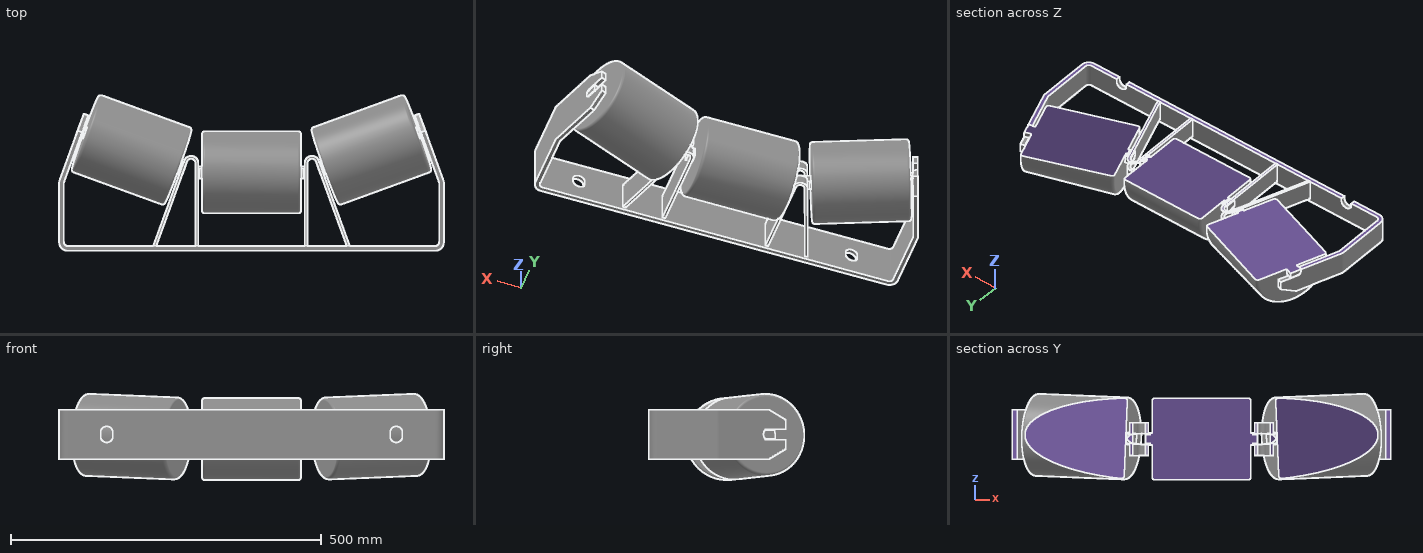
import cadquery as cq
import math

frame_width = 620.0
frame_height = 80.0
frame_thickness = 8.0
corner_radius = 14.0
side_bend_radius = 10.0
side_bend_y = 111.5

flare_angle = 20.0
flange_length = 116.5
tip_chamfer_length = 29.0
tip_half_height = 23.5

mount_slot_width = 20.0
mount_slot_height = 26.0
mount_slot_x = 233.0

roller_diameter = 132.5
roller_length = 160.0
roller_fillet = 5.0
axle_radius = 10.0
axle_reach = 90.5
axle_collar_length = 3.0
tongue_thickness = 14.0
axle_slot_width = 17.0
axle_slot_length = 49.5
side_axle_from_tip = 28.5
side_roller_offset = 92.5
side_roller_tilt = 2.2
center_roller_y = 126.5
center_roller_z = -7.5

bracket_height = 53.5
bracket_thickness = 5.0
bracket_leg_x = 85.5
arch_radius = 12.0
arch_center_y = 141.5

half_width = frame_width / 2
half_height = frame_height / 2
flare = math.radians(flare_angle)
flare_sin = math.sin(flare)
flare_cos = math.cos(flare)

tip_outer = (half_width - flange_length * flare_sin, side_bend_y + flange_length * flare_cos)
tip_inner = (tip_outer[0] - frame_thickness * flare_cos, tip_outer[1] - frame_thickness * flare_sin)

side_roller_x = tip_outer[0] + side_axle_from_tip * flare_sin - side_roller_offset * flare_cos
side_roller_y = tip_outer[1] - side_axle_from_tip * flare_cos - side_roller_offset * flare_sin
side_roller_z = -side_roller_offset * math.sin(math.radians(side_roller_tilt))

arch_center_x = bracket_leg_x + arch_radius


def side_roller_location(side):
    """Place of a side roller: side is -1 for left and +1 for right."""
    place = cq.Location(cq.Vector(side * side_roller_x, side_roller_y, side_roller_z))
    swing = cq.Location(cq.Vector(), cq.Vector(0, 0, 1), side * flare_angle)
    dip = cq.Location(cq.Vector(), cq.Vector(0, 1, 0), -side * side_roller_tilt)
    return place * swing * dip


center_roller_location = cq.Location(cq.Vector(0, center_roller_y, center_roller_z))


def x_cylinder(radius, half_length):
    """Cylinder along X, centered on the origin."""
    return cq.Workplane("YZ", origin=(-half_length, 0, 0)).circle(radius).extrude(2 * half_length)


def flatted_bar(left_reach, right_reach, thickness, top_y):
    """Bar along X with a round -Y side, flat Z sides and a flat +Y side at top_y."""
    bottom_y = -axle_radius
    half_thickness = thickness / 2
    shoulder_y = -math.sqrt(axle_radius**2 - half_thickness**2)
    return (
        cq.Workplane("YZ", origin=(-left_reach, 0, 0))
        .moveTo(top_y, -half_thickness)
        .lineTo(top_y, half_thickness)
        .lineTo(shoulder_y, half_thickness)
        .threePointArc((bottom_y, 0), (shoulder_y, -half_thickness))
        .close()
        .extrude(left_reach + right_reach)
    )


def axle_slots(location):
    """Cutter for the slots at both ends of one axle, open towards +Y."""
    slots = flatted_bar(arch_center_x, arch_center_x, axle_slot_width, axle_slot_length)
    return cq.Workplane(slots.val().moved(location))


def frame_strip():
    """Bent strip, still with square flange tips and no slots."""
    inner_x = half_width - frame_thickness
    inner_bend_y = side_bend_y - frame_thickness * math.tan(flare / 2)
    right_outer = [(half_width, 0), (half_width, side_bend_y), tip_outer]
    right_inner = [tip_inner, (inner_x, inner_bend_y), (inner_x, frame_thickness)]
    right_edge = right_outer + right_inner
    left_edge = [(-x, y) for x, y in reversed(right_edge)]
    strip = cq.Workplane("XY").polyline(right_edge + left_edge).close()
    strip = strip.extrude(frame_height).translate((0, 0, -half_height))

    bends = [
        ((half_width, 0), corner_radius),
        ((inner_x, frame_thickness), corner_radius - frame_thickness),
        ((half_width, side_bend_y), side_bend_radius),
        ((inner_x, inner_bend_y), side_bend_radius - frame_thickness),
    ]
    for (x, y), radius in bends:
        for side in (-1, 1):
            bend_edge = cq.NearestToPointSelector((side * x, y, 0))
            strip = strip.edges("|Z").edges(bend_edge).fillet(radius)
    return strip


def flange_tip_chamfers():
    """Wedges that taper the tips of both flanges."""
    flange_face = cq.Plane(
        origin=(tip_outer[0], tip_outer[1], 0),
        xDir=(-flare_sin, flare_cos, 0),
        normal=(flare_cos, flare_sin, 0),
    )
    upper_wedge = (
        cq.Workplane(flange_face)
        .polyline([(0, tip_half_height), (0, half_height), (-tip_chamfer_length, half_height)])
        .close()
        .extrude(-frame_thickness)
    )
    right_wedges = upper_wedge.union(upper_wedge.mirror("XY"))
    return right_wedges.union(right_wedges.mirror("YZ"))


def mounting_slots():
    """Cutter for the two upright slots through the back plate."""
    upright = 90
    return (
        cq.Workplane("XZ")
        .pushPoints([(-mount_slot_x, 0), (mount_slot_x, 0)])
        .slot2D(mount_slot_height, mount_slot_width, upright)
        .extrude(-frame_thickness)
    )


def make_frame():
    frame = frame_strip().cut(flange_tip_chamfers()).cut(mounting_slots())
    for side in (-1, 1):
        frame = frame.cut(axle_slots(side_roller_location(side)))
    return frame


def arch_point(radius, angle):
    return (arch_center_x + radius * math.cos(angle), arch_center_y + radius * math.sin(angle))


def slanted_foot(radius):
    """Point where the slanted leg face at this arch radius meets the back plate."""
    top_x, top_y = arch_point(radius, flare)
    return (top_x + (top_y - frame_thickness) * math.tan(flare), frame_thickness)


def make_bracket(side):
    """Upright leg, arch and slanted leg: side is -1 for left and +1 for right."""
    inner_radius = arch_radius - bracket_thickness
    arch_top = math.pi / 2
    bracket = (
        cq.Workplane("XY")
        .moveTo(bracket_leg_x, frame_thickness)
        .lineTo(*arch_point(arch_radius, math.pi))
        .threePointArc(arch_point(arch_radius, arch_top), arch_point(arch_radius, flare))
        .lineTo(*slanted_foot(arch_radius))
        .lineTo(*slanted_foot(inner_radius))
        .lineTo(*arch_point(inner_radius, flare))
        .threePointArc(arch_point(inner_radius, arch_top), arch_point(inner_radius, math.pi))
        .lineTo(bracket_leg_x + bracket_thickness, frame_thickness)
        .close()
        .extrude(bracket_height)
        .translate((0, 0, center_roller_z - bracket_height / 2))
    )
    if side < 0:
        bracket = bracket.mirror("YZ")
    for location in (center_roller_location, side_roller_location(side)):
        bracket = bracket.cut(axle_slots(location))
    return bracket


def make_roller(location, left_reach, right_reach):
    """Drum and axle in one; the reaches run from the middle to the two axle ends."""
    drum = x_cylinder(roller_diameter / 2, roller_length / 2).edges().fillet(roller_fillet)
    collars = x_cylinder(axle_radius, roller_length / 2 + axle_collar_length)
    axle = flatted_bar(left_reach, right_reach, tongue_thickness, axle_radius)
    return cq.Workplane(drum.union(collars).union(axle).val().moved(location))


frame = make_frame()
brackets = [make_bracket(side) for side in (-1, 1)]
rollers = [
    make_roller(side_roller_location(-1), side_roller_offset, axle_reach),
    make_roller(center_roller_location, axle_reach, axle_reach),
    make_roller(side_roller_location(1), axle_reach, side_roller_offset),
]

bodies = [frame, *brackets, *rollers]

result = cq.Compound.makeCompound([body.solids().val() for body in bodies])